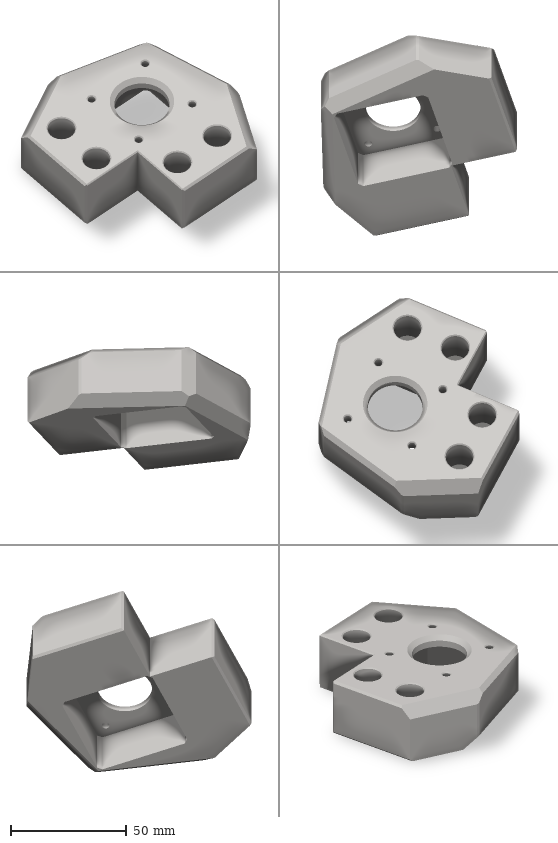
import cadquery as cq
import math

SIZE = 87.8
THICKNESS = 26.0
NOTCH = 30.0
EDGE_BEVEL = 1.0
NOTCH_BEVEL = 0.5
SHORT_SIDE_BEVEL = 5.0
LONG_SIDE_TOP_BEVEL = 2.0
LONG_SIDE_BOTTOM_BEVEL = 5.0

ARM_INNER_X = SIZE - NOTCH
ARM_OUTER_X = 15.2
SIDE_CORNER_LOW = (0.2, 28.45)
SIDE_CORNER_HIGH = (0.0, 29.8)
BACK_CORNER = (10.7, 72.1)

MOTOR_X = 37.3
MOTOR_Y = SIZE - MOTOR_X
BORE_DIAMETER = 24.0
BORE_RIM_DIAMETER = 28.0
SCREW_SPACING = 31.0
SCREW_DIAMETER = 3.3
SCREW_RIM_DIAMETER = 4.3
SEAT_THICKNESS = 5.0
POCKET_WIDTH = 42.5
POCKET_CORNER_CUT = 1.85

ARM_HOLE_DIAMETER = 12.0
ARM_HOLE_RIM_DIAMETER = 13.0
ARM_HOLE_DEPTH = 18.0
ARM_HOLE_EDGE_DISTANCE = 14.05
ARM_HOLE_FIRST_X = 25.8
ARM_HOLE_PITCH = 23.0


def mirrored(point):
    """Mirror a plan point across the block's diagonal."""
    x, y = point
    return (SIZE - y, SIZE - x)


def bevel_cutter(start, end, bevel, at_top):
    """Wedge for a 45 degree bevel along a side; the solid lies to the right going from start to end."""
    length = math.dist(start, end)
    along = cq.Vector(end[0] - start[0], end[1] - start[1], 0).normalized()
    inward = cq.Vector(along.y, -along.x, 0)
    face_z = THICKNESS if at_top else 0
    plane = cq.Plane(origin=(start[0], start[1], face_z), xDir=inward.toTuple(), normal=along.toTuple())
    outward = -1 if at_top else 1
    wedge = [(bevel, 0), (-bevel, -2 * bevel * outward), (-bevel, bevel * outward), (bevel, bevel * outward)]
    overrun = SIZE / 2
    return (
        cq.Workplane(plane)
        .workplane(offset=-overrun)
        .polyline(wedge)
        .close()
        .extrude(length + 2 * overrun)
    )


def rimmed_hole(diameter, rim_diameter, depth):
    """Hole cutter going down from the top face at the origin, with a 45 degree countersunk rim."""
    radius = diameter / 2
    rim_radius = rim_diameter / 2
    rim_depth = rim_radius - radius
    profile = [(0, 0), (rim_radius, 0), (radius, -rim_depth), (radius, -depth), (0, -depth)]
    cutter = cq.Workplane("XZ").polyline(profile).close().revolve(360, (0, 0, 0), (0, 1, 0))
    return cutter.translate((0, 0, THICKNESS))


arm_outer = (ARM_OUTER_X, 0)
half_outline = [
    (ARM_INNER_X, EDGE_BEVEL),
    (ARM_INNER_X - EDGE_BEVEL, 0),
    arm_outer,
    SIDE_CORNER_LOW,
    SIDE_CORNER_HIGH,
    BACK_CORNER,
]
other_half = [mirrored(point) for point in reversed(half_outline)]
outline = half_outline + other_half + [(ARM_INNER_X, NOTCH)]
block = cq.Workplane("XY").polyline(outline).close().extrude(THICKNESS)

side_bevels = [
    ((ARM_INNER_X, 0), arm_outer, EDGE_BEVEL, True),
    ((ARM_INNER_X, 0), arm_outer, EDGE_BEVEL, False),
    (arm_outer, SIDE_CORNER_LOW, SHORT_SIDE_BEVEL, True),
    (SIDE_CORNER_HIGH, BACK_CORNER, LONG_SIDE_TOP_BEVEL, True),
    (SIDE_CORNER_HIGH, BACK_CORNER, LONG_SIDE_BOTTOM_BEVEL, False),
]
for start, end, bevel, at_top in side_bevels:
    block = block.cut(bevel_cutter(start, end, bevel, at_top))
    block = block.cut(bevel_cutter(mirrored(end), mirrored(start), bevel, at_top))

notch_bevel_cutter = (
    cq.Workplane("XY", origin=(ARM_INNER_X, NOTCH, THICKNESS - NOTCH_BEVEL))
    .rect(SIZE, -SIZE, centered=False)
    .extrude(NOTCH_BEVEL, taper=-45)
)
block = block.cut(notch_bevel_cutter)

pocket = (
    cq.Workplane("XY", origin=(MOTOR_X, MOTOR_Y, 0))
    .rect(POCKET_WIDTH, POCKET_WIDTH)
    .extrude(THICKNESS - SEAT_THICKNESS)
    .edges("|Z")
    .chamfer(POCKET_CORNER_CUT)
)
block = block.cut(pocket)

bore = rimmed_hole(BORE_DIAMETER, BORE_RIM_DIAMETER, SEAT_THICKNESS)
block = block.cut(bore.translate((MOTOR_X, MOTOR_Y, 0)))
screw_hole = rimmed_hole(SCREW_DIAMETER, SCREW_RIM_DIAMETER, SEAT_THICKNESS)
for side_x in (-1, 1):
    for side_y in (-1, 1):
        screw_x = MOTOR_X + side_x * SCREW_SPACING / 2
        screw_y = MOTOR_Y + side_y * SCREW_SPACING / 2
        block = block.cut(screw_hole.translate((screw_x, screw_y, 0)))

arm_hole = rimmed_hole(ARM_HOLE_DIAMETER, ARM_HOLE_RIM_DIAMETER, ARM_HOLE_DEPTH)
for index in range(2):
    center = (ARM_HOLE_FIRST_X + index * ARM_HOLE_PITCH, ARM_HOLE_EDGE_DISTANCE)
    for x, y in (center, mirrored(center)):
        block = block.cut(arm_hole.translate((x, y, 0)))

result = block